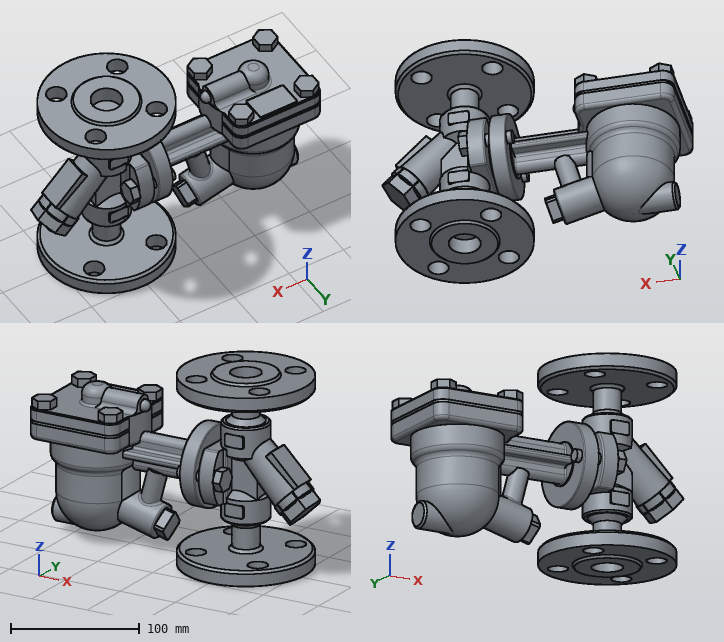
import cadquery as cq
import math


COLUMN_HEIGHT = 160.0
FLANGE_DIAMETER = 108.0
FLANGE_THICKNESS = 12.5
FLANGE_RIM_CHAMFER = 2.2
RAISED_FACE_DIAMETER = 51.8
RAISED_FACE_HEIGHT = 2.2
RAISED_FACE_FLARE = 1.5
FLANGE_HUB_DIAMETER = 27.0
FLANGE_HUB_HEIGHT = 2.6
NECK_DIAMETER = 22.0
NECK_END = 45.0
SHOULDER_DIAMETER = 31.2
BODY_DIAMETER = 39.0
BODY_END = 40.3
BODY_EDGE_CHAMFER = 1.5
BORE_DIAMETER = 25.0
BORE_DEPTH = 13.2
FLANGE_HOLE_DIAMETER = 16.0
FLANGE_HOLE_CIRCLE = 80.0
FLANGE_HOLE_TWIST = 0.9

ARM_Z = -2.2
WAIST_DIAMETER = 19.2
WAIST_FLAT_WIDTH = 21.0
WAIST_HALF_HEIGHT = 12.0
WAIST_TAPER_HEIGHT = 5.5
WAIST_FLAT_RIGHT = 16.3
ARM_TUBE_RADIUS = 6.0
ARM_TUBE_SPACING = 20.6
ARM_BAR_WIDTH = 32.6
ARM_BAR_THICKNESS = 6.2
ARM_BAR_FILLET = 2.2
ARM_ROOT_FILLET = 1.0
DISK_DIAMETER = 67.7
DISK_LEFT = -40.0
DISK_RIGHT = -27.0
DISK_EDGE_FILLET = 0.7
SPIGOT_DIAMETER = 35.0
SPIGOT_HEIGHT = 1.0
PAD_LEFT = -23.3
PAD_RIGHT = -9.5
PAD_HEIGHT = 45.0
PAD_CORNER_FILLET = 2.2
PAD_EDGE_FILLET = 1.2
PAD_BACK_WIDTH = 37.5
PAD_BACK_RIGHT = -6.5
JOINT_BOLT_DIAMETER = 10.0
JOINT_BOLT_OFFSET = 25.5
JOINT_BOLT_PROTRUSION = 4.3
JOINT_NUT_HEIGHT = 6.7
BOLT_HEX_FLATS = 16.8

MARK_PAD_WIDTH = 16.3
MARK_PAD_HEIGHT = 10.5
MARK_PAD_X = 0.5
MARK_PAD_Z = 28.8
MARK_PAD_CORNER = 1.7

STRAINER_TILT = 45.0
STRAINER_OFFSET = 19.5
STRAINER_START = -7.2
STRAINER_START_RADIUS = 13.7
STRAINER_COLLAR_START = 39.0
STRAINER_COLLAR_END = 47.0
STRAINER_COLLAR_RADIUS = 16.5
STRAINER_COLLAR_CHAMFER = 1.2
STRAINER_COLLAR_STEP = 0.7
STRAINER_END = 56.5
STRAINER_HEX_FLATS = 29.0
STRAINER_HEX_TURN = 12.0
STRAINER_RIB_START = 4.3
STRAINER_RIB_WIDTH = 20.2

TRAP_X = -134.6
TRAP_FLANGE_X = -135.0
TRAP_LENGTH = 79.2
TRAP_WIDTH = 80.6
TRAP_CORNER_RADIUS = 9.0
COVER_TOP = 31.0
COVER_BOTTOM = 21.0
COVER_EDGE_CHAMFER = 1.0
GASKET_INSET = 0.2
TRAP_FLANGE_TOP = 19.0
TRAP_FLANGE_BOTTOM = 5.3
TRAP_FLANGE_FILLET = 3.4
BULGE_RADIUS = 42.7
UPPER_RADIUS = 36.5
UPPER_END = -10.5
LOWER_RADIUS = 32.2
LOWER_START = -19.2
BOWL_CENTRE_Z = -41.8
BOWL_DEPTH = 32.0
COVER_BOLT_X = 30.0
COVER_BOLT_Y = 30.2
COVER_BOLT_HEIGHT = 7.0
PLATE_LENGTH = 34.0
PLATE_WIDTH = 21.5
PLATE_HEIGHT = 0.5
PLATE_CORNER = 1.2
PLATE_Y = 27.0

DOME_RADIUS = 12.0
DOME_TOP = 46.0
DOME_FLAT_RADIUS = 4.3
DOME_FOOT_FILLET = 2.0
COVER_PIPE_RADIUS = 8.5
COVER_PIPE_Z = 35.8
COVER_PIPE_BALL_RADIUS = 5.0
COVER_PIPE_SETBACK = 0.7

DRAIN_DIAMETER = 22.0
DRAIN_Z = -62.5
DRAIN_LEFT = -170.2
DRAIN_CHAMFER = 1.7
BRANCH_TILT = 15.0
BRANCH_DIAMETER = 28.8
BRANCH_LENGTH = 61.0
BRANCH_END_FILLET = 1.2
PLUG_LENGTH = 8.6
PLUG_FLATS = 19.0
PLUG_CORNER_DIAMETER = 24.2
LEG_DIAMETER = 16.0
LEG_POSITION = 46.3
LEG_LENGTH = 40.8
LEG_FILLET = 2.2
RISER_RADIUS = 14.5
RISER_RIGHT = -98.0


def rod_x(diameter, left, right, z, y=0.0):
    """Round bar along X."""
    return cq.Workplane("YZ", origin=(left, y, z)).circle(diameter / 2).extrude(right - left)


def hex_corners(flats):
    """Corner-to-corner size of a hexagon from its width across flats."""
    return flats / math.cos(math.pi / 6)


def sloped_plane(x, z, tilt):
    """Plane at y = 0 whose normal points to +X and downward by tilt degrees; local X is +Y."""
    slope = math.radians(tilt)
    return cq.Plane(origin=(x, 0, z), xDir=(0, 1, 0), normal=(math.cos(slope), 0, -math.sin(slope)))


def column_end():
    """Upper half: pipe flange, neck and the end of the body."""
    top = COLUMN_HEIGHT / 2
    face = top - RAISED_FACE_HEIGHT
    flange_back = face - FLANGE_THICKNESS
    rim = FLANGE_DIAMETER / 2
    raised = RAISED_FACE_DIAMETER / 2
    end = (
        cq.Workplane("XZ")
        .moveTo(0, 0)
        .lineTo(0, top)
        .lineTo(raised, top)
        .lineTo(raised + RAISED_FACE_FLARE, face)
        .lineTo(rim, face)
        .lineTo(rim, flange_back + FLANGE_RIM_CHAMFER)
        .lineTo(rim - FLANGE_RIM_CHAMFER, flange_back)
        .lineTo(FLANGE_HUB_DIAMETER / 2, flange_back)
        .lineTo(NECK_DIAMETER / 2, flange_back - FLANGE_HUB_HEIGHT)
        .lineTo(NECK_DIAMETER / 2, NECK_END)
        .lineTo(SHOULDER_DIAMETER / 2, BODY_END)
        .lineTo(BODY_DIAMETER / 2 - BODY_EDGE_CHAMFER, BODY_END)
        .lineTo(BODY_DIAMETER / 2, BODY_END - BODY_EDGE_CHAMFER)
        .lineTo(BODY_DIAMETER / 2, 0)
        .close()
        .revolve(360, (0, 0), (0, 1))
    )
    bore = cq.Workplane("XY", origin=(0, 0, top - BORE_DEPTH)).circle(BORE_DIAMETER / 2).extrude(BORE_DEPTH)
    holes = (
        cq.Workplane("XY", origin=(0, 0, flange_back))
        .polarArray(FLANGE_HOLE_CIRCLE / 2, 45 + FLANGE_HOLE_TWIST, 360, 4)
        .circle(FLANGE_HOLE_DIAMETER / 2)
        .extrude(FLANGE_THICKNESS)
    )
    return end.cut(bore).cut(holes)


def waist_groove():
    """Sloped-sided ring cut around the middle of the column body, leaving a flat-sided core."""
    inner = WAIST_DIAMETER / 2
    outer = BODY_DIAMETER / 2
    wide = WAIST_HALF_HEIGHT + WAIST_TAPER_HEIGHT
    ring = (
        cq.Workplane("XZ")
        .polyline([
            (inner, ARM_Z + WAIST_HALF_HEIGHT),
            (outer, ARM_Z + wide),
            (outer, ARM_Z - wide),
            (inner, ARM_Z - WAIST_HALF_HEIGHT),
        ])
        .close()
        .revolve(360, (0, 0), (0, 1))
    )
    core = cq.Workplane("XY").box(2 * WAIST_FLAT_RIGHT, WAIST_FLAT_WIDTH, BODY_END).translate((0, 0, ARM_Z))
    return ring.cut(core)


def marking_pads():
    """Flat rectangular pads standing on the front and back of the column body."""
    centres = [(MARK_PAD_X, MARK_PAD_Z), (MARK_PAD_X, -MARK_PAD_Z)]
    return (
        cq.Workplane("XZ")
        .pushPoints(centres)
        .rect(MARK_PAD_WIDTH, MARK_PAD_HEIGHT)
        .extrude(BODY_DIAMETER / 2, both=True)
        .edges("|Y")
        .fillet(MARK_PAD_CORNER)
    )


def column():
    """Two mirrored ends with the waist cut between them and the marking pads added."""
    upper = column_end()
    lower = upper.rotate((0, 0, 0), (1, 0, 0), 180)
    return upper.union(lower).cut(waist_groove()).union(marking_pads())


def strainer():
    """Tapered branch with a collar, a flat-sided rib on top and a hexagonal cap."""
    slope = math.radians(STRAINER_TILT)
    plane = sloped_plane(STRAINER_OFFSET * math.sin(slope), STRAINER_OFFSET * math.cos(slope), STRAINER_TILT)
    taper_end_radius = STRAINER_COLLAR_RADIUS - STRAINER_COLLAR_STEP
    branch = (
        cq.Workplane(cq.Plane(origin=plane.origin.toTuple(), xDir=plane.yDir, normal=(0, 1, 0)))
        .polyline([
            (0, STRAINER_START),
            (STRAINER_START_RADIUS, STRAINER_START),
            (taper_end_radius, STRAINER_COLLAR_START),
            (STRAINER_COLLAR_RADIUS, STRAINER_COLLAR_START),
            (STRAINER_COLLAR_RADIUS, STRAINER_COLLAR_END - STRAINER_COLLAR_CHAMFER),
            (STRAINER_COLLAR_RADIUS - STRAINER_COLLAR_CHAMFER, STRAINER_COLLAR_END),
            (0, STRAINER_COLLAR_END),
        ])
        .close()
        .revolve(360, (0, 0), (0, 1))
    )
    rib = (
        cq.Workplane(plane)
        .workplane(offset=STRAINER_RIB_START)
        .center(0, STRAINER_COLLAR_RADIUS / 2)
        .rect(STRAINER_RIB_WIDTH, STRAINER_COLLAR_RADIUS)
        .extrude(STRAINER_COLLAR_START - STRAINER_RIB_START)
    )
    cap = (
        cq.Workplane(plane)
        .workplane(offset=STRAINER_COLLAR_START)
        .transformed(rotate=(0, 0, 90 - STRAINER_HEX_TURN))
        .polygon(6, hex_corners(STRAINER_HEX_FLATS))
        .extrude(STRAINER_END - STRAINER_COLLAR_START)
    )
    return branch.union(rib).union(cap)


def arm_tubes(left, right):
    """The two passages with the web between them."""
    section = cq.Workplane("YZ", origin=(left, 0, ARM_Z)).slot2D(
        ARM_TUBE_SPACING + 2 * ARM_TUBE_RADIUS, 2 * ARM_TUBE_RADIUS, 90
    )
    return section.extrude(right - left)


def arm():
    """Two parallel passages joined by a web, with a flat bar along the middle."""
    left = TRAP_X + LOWER_RADIUS / 2
    length = DISK_RIGHT - left
    tubes = arm_tubes(left, DISK_RIGHT)
    bar = (
        cq.Workplane("YZ", origin=(left, 0, ARM_Z))
        .rect(ARM_BAR_WIDTH, ARM_BAR_THICKNESS)
        .extrude(length)
        .edges("|X")
        .fillet(ARM_BAR_FILLET)
    )
    margin = ARM_BAR_FILLET / 2
    half_width = ARM_TUBE_RADIUS + margin
    half_height = ARM_BAR_THICKNESS / 2 + margin
    corners = cq.selectors.BoxSelector(
        (left, -half_width, ARM_Z - half_height), (DISK_RIGHT, half_width, ARM_Z + half_height)
    )
    return tubes.union(bar).edges("|X").edges(corners).fillet(ARM_BAR_FILLET)


def bolted_joint():
    """Round disk on the arm, flat-topped pad on the column, and two through bolts."""
    disk = rod_x(DISK_DIAMETER, DISK_LEFT, DISK_RIGHT, ARM_Z).edges().fillet(DISK_EDGE_FILLET)
    spigot_face = DISK_LEFT - SPIGOT_HEIGHT
    spigot = (
        rod_x(SPIGOT_DIAMETER, spigot_face, PAD_RIGHT, ARM_Z)
        .union(arm_tubes(spigot_face - 2 * ARM_ROOT_FILLET, DISK_LEFT))
        .faces("<X[1]")
        .wires()
        .item(1)
        .edges()
        .fillet(ARM_ROOT_FILLET)
    )
    pad = rod_x(DISK_DIAMETER, PAD_LEFT, PAD_RIGHT, ARM_Z)
    pad_limit = cq.Workplane("XY").box(2 * DISK_DIAMETER, DISK_DIAMETER, PAD_HEIGHT).translate((0, 0, ARM_Z))
    pad = pad.intersect(pad_limit).edges("|X").fillet(PAD_CORNER_FILLET)
    pad = pad.faces("<X").edges().fillet(PAD_EDGE_FILLET)
    pad_back = (
        cq.Workplane("YZ", origin=(PAD_LEFT + PAD_EDGE_FILLET, 0, ARM_Z))
        .rect(PAD_BACK_WIDTH, PAD_HEIGHT)
        .extrude(PAD_BACK_RIGHT - PAD_LEFT - PAD_EDGE_FILLET)
        .faces(">X")
        .edges()
        .fillet(PAD_EDGE_FILLET)
    )
    joint = disk.union(spigot).union(pad).union(pad_back)
    for side in (-1, 1):
        y = side * JOINT_BOLT_OFFSET
        bolt = rod_x(JOINT_BOLT_DIAMETER, DISK_LEFT - JOINT_BOLT_PROTRUSION, PAD_RIGHT, ARM_Z, y)
        nut = (
            cq.Workplane("YZ", origin=(PAD_RIGHT, y, ARM_Z))
            .polygon(6, hex_corners(BOLT_HEX_FLATS))
            .extrude(JOINT_NUT_HEIGHT)
        )
        joint = joint.union(bolt).union(nut)
    return joint


def trap_slab(bottom, top, inset=0.0):
    """Rounded rectangular plate of the trap flange outline."""
    return (
        cq.Workplane("XY", origin=(TRAP_FLANGE_X, 0, bottom))
        .rect(TRAP_LENGTH - 2 * inset, TRAP_WIDTH - 2 * inset)
        .extrude(top - bottom)
        .edges("|Z")
        .fillet(TRAP_CORNER_RADIUS)
    )


def trap_flanges():
    """Body flange, gasket and cover, with a round bulge on the arm side and the cover bolts."""
    body_flange = trap_slab(TRAP_FLANGE_BOTTOM, TRAP_FLANGE_TOP)
    body_flange = body_flange.faces("<Z").edges().fillet(TRAP_FLANGE_FILLET)
    gasket = trap_slab(TRAP_FLANGE_TOP, COVER_BOTTOM, GASKET_INSET)
    cover = trap_slab(COVER_BOTTOM, COVER_TOP).faces(">Z").edges().chamfer(COVER_EDGE_CHAMFER)
    arm_side = cq.Workplane("XY").box(BULGE_RADIUS, 2 * BULGE_RADIUS, 2 * BULGE_RADIUS).translate(
        (TRAP_X + BULGE_RADIUS, 0, COVER_TOP)
    )
    bulge = (
        cq.Workplane("XY", origin=(TRAP_X, 0, TRAP_FLANGE_BOTTOM))
        .circle(BULGE_RADIUS)
        .extrude(COVER_TOP - TRAP_FLANGE_BOTTOM)
        .faces("<Z")
        .edges()
        .fillet(TRAP_FLANGE_FILLET)
        .intersect(arm_side)
    )
    bolts = (
        cq.Workplane("XY", origin=(TRAP_X, 0, COVER_TOP))
        .transformed(rotate=(0, 0, 90))
        .rect(2 * COVER_BOLT_Y, 2 * COVER_BOLT_X, forConstruction=True)
        .vertices()
        .polygon(6, hex_corners(BOLT_HEX_FLATS))
        .extrude(COVER_BOLT_HEIGHT)
    )
    plate = (
        cq.Workplane("XY", origin=(TRAP_X, PLATE_Y, COVER_TOP))
        .rect(PLATE_LENGTH, PLATE_WIDTH)
        .extrude(PLATE_HEIGHT)
        .edges("|Z")
        .fillet(PLATE_CORNER)
    )
    return body_flange.union(gasket).union(cover).union(bulge).union(bolts).union(plate)


def trap_body():
    """Stepped round body: wide upper part, S-curved step, straight part and round bowl."""
    step_middle = ((UPPER_RADIUS + LOWER_RADIUS) / 2, (UPPER_END + LOWER_START) / 2)
    bowl_side = BOWL_DEPTH * math.cos(math.pi / 4)
    bowl_flat = LOWER_RADIUS - BOWL_DEPTH
    return (
        cq.Workplane("XZ", origin=(TRAP_X, 0, 0))
        .moveTo(0, TRAP_FLANGE_TOP)
        .lineTo(UPPER_RADIUS, TRAP_FLANGE_TOP)
        .lineTo(UPPER_RADIUS, UPPER_END)
        .tangentArcPoint(step_middle, relative=False)
        .tangentArcPoint((LOWER_RADIUS, LOWER_START), relative=False)
        .lineTo(LOWER_RADIUS, BOWL_CENTRE_Z)
        .threePointArc(
            (bowl_flat + bowl_side, BOWL_CENTRE_Z - bowl_side), (bowl_flat, BOWL_CENTRE_Z - BOWL_DEPTH)
        )
        .lineTo(0, BOWL_CENTRE_Z - BOWL_DEPTH)
        .close()
        .revolve(360, (0, 0), (0, 1))
    )


def cover_passage():
    """Dome on the cover and a pipe running from it to the arm side, ending in a ball."""
    rounding = DOME_RADIUS - DOME_FLAT_RADIUS
    foot = DOME_FOOT_FILLET
    corner = 1 - math.cos(math.pi / 4)
    dome = (
        cq.Workplane("XZ", origin=(TRAP_X, 0, 0))
        .moveTo(0, COVER_BOTTOM)
        .lineTo(DOME_RADIUS + foot, COVER_BOTTOM)
        .lineTo(DOME_RADIUS + foot, COVER_TOP)
        .threePointArc(
            (DOME_RADIUS + foot * corner, COVER_TOP + foot * corner), (DOME_RADIUS, COVER_TOP + foot)
        )
        .lineTo(DOME_RADIUS, DOME_TOP - rounding)
        .threePointArc(
            (DOME_RADIUS - rounding * corner, DOME_TOP - rounding * corner), (DOME_FLAT_RADIUS, DOME_TOP)
        )
        .lineTo(0, DOME_TOP)
        .close()
        .revolve(360, (0, 0), (0, 1))
    )
    radius = COVER_PIPE_RADIUS
    rise = COVER_PIPE_Z - COVER_TOP
    spread = rise * corner
    root = COVER_BOTTOM - COVER_TOP
    pipe = (
        cq.Workplane("YZ", origin=(TRAP_X, 0, COVER_TOP))
        .moveTo(radius + rise, root)
        .lineTo(radius + rise, 0)
        .threePointArc((radius + spread, spread), (radius, rise))
        .threePointArc((0, rise + radius), (-radius, rise))
        .threePointArc((-radius - spread, spread), (-radius - rise, 0))
        .lineTo(-radius - rise, root)
        .close()
        .extrude(2 * BULGE_RADIUS)
    )
    end_radius = BULGE_RADIUS - COVER_PIPE_SETBACK
    pipe_end = cq.Workplane("XY", origin=(TRAP_X, 0, COVER_BOTTOM)).circle(end_radius).extrude(end_radius)
    ball = cq.Workplane("XY").sphere(COVER_PIPE_BALL_RADIUS).translate(
        (TRAP_X + BULGE_RADIUS, 0, COVER_PIPE_Z))
    return dome.union(pipe.intersect(pipe_end)).union(ball)


def drain_boss():
    """Blind round boss at the bottom of the bowl, pointing to -X."""
    return rod_x(DRAIN_DIAMETER, DRAIN_LEFT, TRAP_X, DRAIN_Z).faces("<X").edges().chamfer(DRAIN_CHAMFER)


def plugged_branch():
    """Sloped branch from the bowl centre with a square plug, and its leg up to the arm."""
    plane = sloped_plane(TRAP_X, BOWL_CENTRE_Z, BRANCH_TILT)
    branch = (
        cq.Workplane(plane)
        .circle(BRANCH_DIAMETER / 2)
        .extrude(BRANCH_LENGTH)
        .faces(">X")
        .edges()
        .fillet(BRANCH_END_FILLET)
    )
    plug_face = cq.Workplane(plane).workplane(offset=BRANCH_LENGTH)
    plug = (
        plug_face.transformed(rotate=(0, 0, 45))
        .rect(PLUG_FLATS, PLUG_FLATS)
        .extrude(PLUG_LENGTH)
        .intersect(plug_face.circle(PLUG_CORNER_DIAMETER / 2).extrude(PLUG_LENGTH))
    )
    leg_plane = cq.Plane(
        origin=plane.toWorldCoords((0, 0, LEG_POSITION)).toTuple(),
        xDir=(0, 1, 0),
        normal=plane.yDir.toTuple(),
    )
    leg = cq.Workplane(leg_plane).circle(LEG_DIAMETER / 2).extrude(LEG_LENGTH)
    joined = branch.union(leg)
    seam = joined.edges(cq.selectors.NearestToPointSelector(
        plane.toWorldCoords((0, BRANCH_DIAMETER / 2, LEG_POSITION)).toTuple()
    ))
    return seam.fillet(LEG_FILLET).union(plug)


def riser():
    """Upright half-round bulge on the arm side of the body, between arm and branch."""
    return (
        cq.Workplane("XY", origin=(RISER_RIGHT - RISER_RADIUS, 0, BOWL_CENTRE_Z))
        .circle(RISER_RADIUS)
        .extrude(ARM_Z - BOWL_CENTRE_Z)
    )


result = (
    column()
    .union(strainer())
    .union(bolted_joint())
    .union(arm())
    .union(trap_flanges())
    .union(trap_body())
    .union(cover_passage())
    .union(drain_boss())
    .union(plugged_branch())
    .union(riser())
)